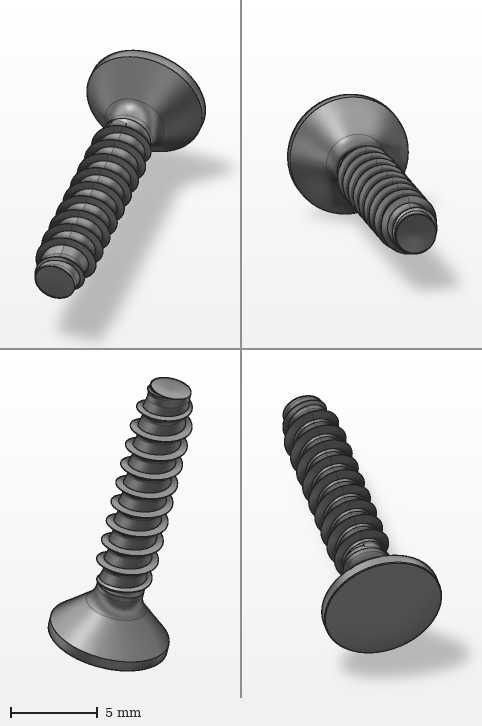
import cadquery as cq
import math


ORIGIN = cq.Vector(0, 0, 0)
X_AXIS = cq.Vector(1, 0, 0)
Z_AXIS = cq.Vector(0, 0, 1)

LENGTH = 17.0

HEAD_RADIUS = 3.5
HEAD_TOP_CHAMFER = 0.05
RIM_DEPTH = 0.7
RIM_CORNER = 0.05
NECK_RADIUS = 1.37
NECK_FILLET = 1.37
CONE_HALF_ANGLE = math.radians(45)
SHANK_END = 3.66

CORE_RADIUS = 1.2
CORE_TAPER_END = 4.12
TIP_DIMPLE_DEPTH = 0.1

PITCH = 1.289
CREST_RADIUS = 1.75
CREST_WIDTH = 0.03
UPPER_BASE_RADIUS = 1.27
UPPER_BASE_OFFSET = 0.22
LOWER_BASE_RADIUS = 1.34
LOWER_BASE_OFFSET = 0.14
UPPER_RAMP_END = 0.43
ROOT_GAP = 0.03
ROOT_EMBED = 0.015
FADED_EMBED = 0.03
FADED_ROOT_EMBED = 0.05
FIRST_FULL_CREST = 4.76
FIRST_FULL_ANGLE = 90
FULL_TURNS = 8
LEAD_IN_TURNS = 1.0
RUN_OUT_TURNS = 1.6


def make_blank():
    """Head, neck and core as one turned profile."""
    fillet_start_radius = NECK_RADIUS + NECK_FILLET * (1 - math.cos(CONE_HALF_ANGLE))
    cone_start_radius = HEAD_RADIUS - RIM_CORNER
    cone_length = (cone_start_radius - fillet_start_radius) / math.tan(CONE_HALF_ANGLE)
    fillet_start = RIM_DEPTH + cone_length
    fillet_end = fillet_start + NECK_FILLET * math.sin(CONE_HALF_ANGLE)
    mid_angle = CONE_HALF_ANGLE / 2
    fillet_middle = (
        NECK_RADIUS + NECK_FILLET * (1 - math.cos(mid_angle)),
        fillet_end - NECK_FILLET * math.sin(mid_angle),
    )
    profile = (
        cq.Workplane("YZ")
        .moveTo(0, 0)
        .lineTo(HEAD_RADIUS - HEAD_TOP_CHAMFER, 0)
        .lineTo(HEAD_RADIUS, HEAD_TOP_CHAMFER)
        .lineTo(HEAD_RADIUS, RIM_DEPTH - RIM_CORNER)
        .lineTo(cone_start_radius, RIM_DEPTH)
        .lineTo(fillet_start_radius, fillet_start)
        .threePointArc(fillet_middle, (NECK_RADIUS, fillet_end))
        .lineTo(NECK_RADIUS, SHANK_END)
        .lineTo(CORE_RADIUS, CORE_TAPER_END)
        .lineTo(CORE_RADIUS, LENGTH)
        .lineTo(0, LENGTH - TIP_DIMPLE_DEPTH)
        .close()
    )
    return profile.revolve(360, (0, 0, 0), (0, 1, 0))


def thread_section(upper_base, crest, lower_base, root):
    """Thread outline as (radius, z) points about the crest's middle."""
    half_crest = CREST_WIDTH / 2
    return [
        (root, -UPPER_RAMP_END),
        (upper_base, -UPPER_BASE_OFFSET),
        (crest, -half_crest),
        (crest, half_crest),
        (lower_base, LOWER_BASE_OFFSET),
        (root, PITCH - ROOT_GAP - UPPER_RAMP_END),
    ]


def helix_edge(start_radius, end_radius, start_z, turns):
    """Helix of constant pitch whose radius changes evenly from start to end."""
    rise = turns * PITCH
    if start_radius == end_radius:
        helix = cq.Wire.makeHelix(PITCH, rise, start_radius)
    else:
        taper = math.atan2(end_radius - start_radius, rise)
        slant = 1 / math.cos(taper)
        helix = cq.Wire.makeHelix(PITCH * slant, rise * slant, start_radius, angle=math.degrees(taper))
    return helix.Edges()[0].translate(Z_AXIS * start_z)


def helical_solid(start_section, end_section, turns, crest_z, start_angle):
    """Solid swept by a section that turns into another one along the helix."""
    helices = []
    for (start_radius, z), (end_radius, _) in zip(start_section, end_section):
        helices.append(helix_edge(start_radius, end_radius, z, turns))
    faces = []
    for index, helix in enumerate(helices):
        faces.append(cq.Face.makeRuledSurface(helices[index - 1], helix))
    for position in (0, 1):
        corners = [helix.positionAt(position) for helix in helices]
        faces.append(cq.Face.makeFromWires(cq.Wire.makePolygon(corners, close=True)))
    solid = cq.Solid.makeSolid(cq.Shell.makeShell(faces))
    turned = solid.rotate(ORIGIN, Z_AXIS, start_angle)
    return cq.Workplane(turned.translate(Z_AXIS * crest_z))


def make_thread():
    """Lead-in, full thread and run-out, trimmed between the shank and the tip."""
    root = CORE_RADIUS - ROOT_EMBED
    sunk = CORE_RADIUS - FADED_EMBED
    full = thread_section(UPPER_BASE_RADIUS, CREST_RADIUS, LOWER_BASE_RADIUS, root)
    lead = thread_section(UPPER_BASE_RADIUS, NECK_RADIUS, LOWER_BASE_RADIUS, root)
    faded = thread_section(sunk, sunk, sunk, CORE_RADIUS - FADED_ROOT_EMBED)

    lead_z = FIRST_FULL_CREST - LEAD_IN_TURNS * PITCH
    lead_angle = FIRST_FULL_ANGLE - 360 * LEAD_IN_TURNS
    run_out_z = FIRST_FULL_CREST + FULL_TURNS * PITCH
    parts = [helical_solid(lead, full, LEAD_IN_TURNS, lead_z, lead_angle)]
    for turn in range(FULL_TURNS):
        parts.append(helical_solid(full, full, 1, FIRST_FULL_CREST + turn * PITCH, FIRST_FULL_ANGLE))
    parts.append(helical_solid(full, faded, RUN_OUT_TURNS, run_out_z, FIRST_FULL_ANGLE))
    trim = cq.Workplane("XY", origin=(0, 0, SHANK_END)).circle(HEAD_RADIUS).extrude(LENGTH - SHANK_END)
    return [part.intersect(trim) for part in parts]


screw = make_blank()
for part in make_thread():
    screw = screw.union(part)

result = screw.rotate(ORIGIN, X_AXIS, 90)